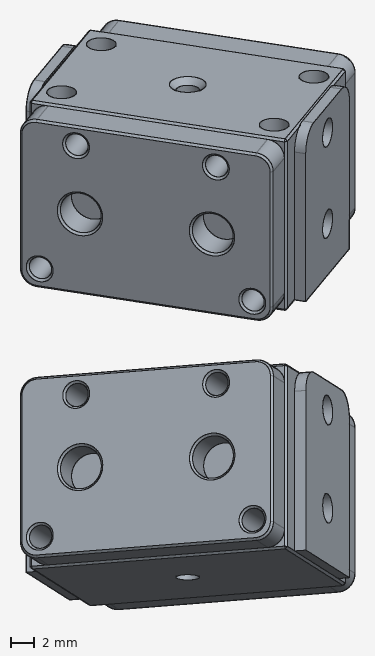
import cadquery as cq

body_length = 23.0
body_width = 15.0
body_height = 16.0
body_chamfer = 0.2

overall_width = 21.0
end_depth = (overall_width - body_width) / 2
end_inset = 0.2
end_length = body_length - 2 * end_inset
end_height = body_height - 2 * end_inset
end_corner_radius = 1.5
end_chamfer = 0.2

overall_length = 25.0
plate_thickness = (overall_length - body_length) / 2
plate_width = 11.0
plate_bottom = body_chamfer
plate_corner_radius = 2.0

bolt_hole_diameter = 2.0
bolt_hole_chamfer = 0.2
upper_bolt_x = 6.25
upper_bolt_z = 14.0
lower_bolt_x = 9.5
lower_bolt_z = 2.0

port_diameter = 3.65
port_chamfer = 0.2
port_x = 5.9
port_z = 7.7

mount_hole_diameter = 2.5
mount_hole_depth = 4.0
mount_hole_x = 9.5
mount_hole_y = 5.0

centre_hole_diameter = 2.0
centre_sink_diameter = 3.1
centre_sink_depth = (centre_sink_diameter - centre_hole_diameter) / 2

plate_hole_diameter = 2.5
plate_hole_heights = (5.0, 13.5)


def make_body():
    body = cq.Workplane("XY").box(body_length, body_width, body_height, centered=(True, True, False))
    return body.edges().chamfer(body_chamfer)


def make_end_blocks():
    """One bar with rounded corners; its two ends stick out of the body."""
    bar = (
        cq.Workplane("XY")
        .box(end_length, overall_width, end_height, centered=(True, True, False))
        .translate((0, 0, end_inset))
        .edges("|Y")
        .fillet(end_corner_radius)
    )
    return bar.faces("<Y or >Y").chamfer(end_chamfer)


def make_side_plates():
    """One slab with rounded top corners; its two ends stick out of the body."""
    return (
        cq.Workplane("XY")
        .box(overall_length, plate_width, body_height - plate_bottom, centered=(True, True, False))
        .translate((0, 0, plate_bottom))
        .edges("|X and >Z")
        .fillet(plate_corner_radius)
    )


def trim_to_body_sides(slab):
    """Keep only the parts of the slab beyond the body's -X and +X faces."""
    core = cq.Workplane("XY").box(body_length, overall_width, body_height, centered=(True, True, False))
    return slab.cut(core)


def end_hole(side, x, z, diameter, depth, chamfer):
    """Hole along Y with a chamfered mouth, entering the end face on the given side (-1 or +1)."""
    mouth = cq.Vector(x, side * overall_width / 2, z)
    inward = cq.Vector(0, -side, 0)
    radius = diameter / 2
    bore = cq.Solid.makeCylinder(radius, depth, mouth, inward)
    cone = cq.Solid.makeCone(radius + chamfer, radius, chamfer, mouth, inward)
    return cq.Workplane(bore.fuse(cone))


result = make_body().union(make_end_blocks()).union(trim_to_body_sides(make_side_plates()))

bolt_places = [
    (-upper_bolt_x, upper_bolt_z),
    (upper_bolt_x, upper_bolt_z),
    (-lower_bolt_x, lower_bolt_z),
    (lower_bolt_x, lower_bolt_z),
]
for side in (-1, 1):
    for x, z in bolt_places:
        result = result.cut(end_hole(side, x, z, bolt_hole_diameter, overall_width / 2, bolt_hole_chamfer))
    for x in (-port_x, port_x):
        result = result.cut(end_hole(side, x, port_z, port_diameter, end_depth, port_chamfer))

mount_holes = (
    cq.Workplane("XY", origin=(0, 0, body_height))
    .rect(2 * mount_hole_x, 2 * mount_hole_y, forConstruction=True)
    .vertices()
    .circle(mount_hole_diameter / 2)
    .extrude(-mount_hole_depth)
)
result = result.cut(mount_holes)

centre_hole = cq.Workplane("XY").circle(centre_hole_diameter / 2).extrude(body_height)
centre_sink = cq.Workplane(
    cq.Solid.makeCone(
        centre_sink_diameter / 2,
        centre_hole_diameter / 2,
        centre_sink_depth,
        cq.Vector(0, 0, body_height),
        cq.Vector(0, 0, -1),
    )
)
result = result.cut(centre_hole).cut(centre_sink)

for start_x in (-overall_length / 2, body_length / 2):
    plate_holes = (
        cq.Workplane("YZ", origin=(start_x, 0, 0))
        .pushPoints([(0, z) for z in plate_hole_heights])
        .circle(plate_hole_diameter / 2)
        .extrude(plate_thickness)
    )
    result = result.cut(plate_holes)